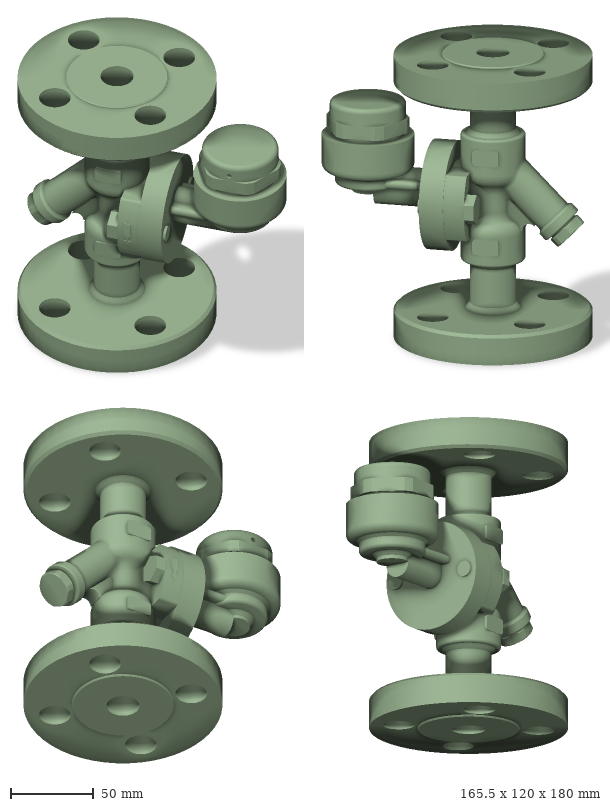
import cadquery as cq
import math

total_height = 180.0
flange_diameter = 120.0
flange_thickness = 18.7
flange_chamfer = 1.8
raised_face_diameter = 62.0
raised_face_height = 1.0
raised_face_chamfer = 0.7
bolt_hole_diameter = 19.0
bolt_hole_offset = 30.0
bore_diameter = 20.0
bore_depth = 46.8
neck_diameter = 27.7
hub_diameter = 33.8
hub_length = 3.0

valve_z = -2.0
barrel_diameter = 39.0
barrel_end_z = 40.1
barrel_edge_fillet = 1.6
shoulder_diameter = 33.1
shoulder_length = 2.9
barrel_start = 19.3
waist_diameter = 23.0
waist_half_height = 6.1
blend_split = 0.45
label_width = 16.2
label_height = 9.7
label_fillet = 2.0
label_face_y = 19.8
upper_label_z = 28.6
lower_label_z = -27.5

branch_axis_z = 27.0
branch_diameter = 23.0
branch_fillet = 2.7
collar_start = 54.9
collar_length = 6.0
collar_diameter = 27.0
collar_edge_fillet = 0.9
collar_flare = 1.6
web_width = 10.8
web_fillet = 4.3
plug_neck_diameter = 19.0
plug_start = 62.1
plug_end = 68.4
plug_flats = 21.0
plug_corner_diameter = 22.7
plug_chamfer = 0.7

disc_diameter = 67.0
pad_diameter = 66.2
pad_x = 10.0
disc_x = 23.0
disc_end_x = 38.0
pad_height = 41.0
pad_edge_fillet = 2.2
web_root_fillet = 5.0
boss_diameter = 44.0
boss_x = 15.5
screw_y = 25.5
screw_head_flats = 16.0
screw_head_height = 6.1
screw_diameter = 9.5
screw_tip_length = 1.6
arrow_height = 0.7
arrow_half_width = 2.2
arrow_stem_half_width = 0.7
arrow_top_z = 6.1
arrow_notch_z = 5.2
arrow_tail_z = -2.2
arrow_head_z = -6.8
arrow_tip_z = -10.5

trap_x = 77.5
duct_width = 16.2
duct_bottom_z = -10.3
duct_top_z = 13.5
rail_z = 6.0
rail_width = 28.8
rail_thickness = 5.2
duct_end_x = 72.4
chamber_diameter = 56.0
chamber_bottom_z = 10.6
chamber_top_z = 33.5
chamber_fillet = 4.7
seat_diameter = 40.0
seat_bottom_z = 2.3
seat_fillet = 2.2
seat_flare = 1.8
drain_diameter = 19.0
drain_bottom_z = -2.3
drain_flare = 2.5
cap_neck_diameter = 44.6
cap_hex_flats = 46.0
cap_hex_corner_diameter = 50.2
cap_hex_bottom_z = 36.0
cap_hex_top_z = 44.5
cap_diameter = 46.0
cap_top_z = 54.9
cap_fillet = 2.9
vent_diameter = 3.2
vent_depth = 1.8
vent_z = 48.2


def disc_z(diameter, z_low, z_high, x=0):
    return cq.Workplane("XY", origin=(x, 0, z_low)).circle(diameter / 2).extrude(z_high - z_low)


def disc_along_x(diameter, x_low, x_high, y=0, z=valve_z):
    return cq.Workplane("YZ", origin=(x_low, y, z)).circle(diameter / 2).extrude(x_high - x_low)


def hexagon(plane, across_flats, height, turn=0):
    corner_diameter = across_flats / math.cos(math.pi / 6)
    prism = cq.Workplane(plane).polygon(6, corner_diameter).extrude(height)
    return prism.rotate(plane.origin.toTuple(), (plane.origin + plane.zDir).toTuple(), turn)


def cone(plane, start_radius, end_radius, height):
    base = cq.Workplane(plane).circle(start_radius)
    return base.workplane(offset=height).circle(end_radius).loft()


def level_plane(z, x=0):
    return cq.Plane(origin=(x, 0, z), xDir=(1, 0, 0), normal=(0, 0, 1))


def pipe_flange():
    """Upper flange with its raised face, bolt holes and hub."""
    top_z = total_height / 2 - raised_face_height
    bottom_z = top_z - flange_thickness
    plate = disc_z(flange_diameter, bottom_z, top_z).faces("<Z").edges().chamfer(flange_chamfer)
    holes = (
        cq.Workplane("XY", origin=(0, 0, bottom_z))
        .rect(2 * bolt_hole_offset, 2 * bolt_hole_offset, forConstruction=True)
        .vertices()
        .circle(bolt_hole_diameter / 2)
        .extrude(flange_thickness)
    )
    hub = cone(level_plane(bottom_z), hub_diameter / 2, neck_diameter / 2, -hub_length)
    raised_face = disc_z(raised_face_diameter, top_z, total_height / 2)
    raised_face = raised_face.faces(">Z").edges().chamfer(raised_face_chamfer)
    return plate.cut(holes).union(hub).union(raised_face)


def valve_body():
    """Necks, barrels and waist turned as one profile, with S-shaped blends at the waist."""
    r_neck = neck_diameter / 2
    r_shoulder = shoulder_diameter / 2
    r_barrel = barrel_diameter / 2
    r_rim = r_barrel - barrel_edge_fillet
    r_waist = waist_diameter / 2
    flange_z = total_height / 2 - flange_thickness
    shoulder_end_z = barrel_end_z + shoulder_length
    waist_low = valve_z - waist_half_height
    waist_high = valve_z + waist_half_height
    split_r = r_waist + blend_split * (r_barrel - r_waist)
    split_rise = blend_split * (barrel_start - waist_half_height)
    lower_split = (split_r, waist_low - split_rise)
    upper_split = (split_r, waist_high + split_rise)
    profile = (
        cq.Workplane("XZ")
        .moveTo(0, -flange_z)
        .lineTo(r_neck, -flange_z)
        .lineTo(r_neck, -shoulder_end_z)
        .lineTo(r_shoulder, -barrel_end_z)
        .lineTo(r_rim, -barrel_end_z)
        .radiusArc((r_barrel, barrel_edge_fillet - barrel_end_z), -barrel_edge_fillet)
        .lineTo(r_barrel, valve_z - barrel_start)
        .tangentArcPoint(lower_split, relative=False)
        .tangentArcPoint((r_waist, waist_low), relative=False)
        .lineTo(r_waist, waist_high)
        .tangentArcPoint(upper_split, relative=False)
        .tangentArcPoint((r_barrel, valve_z + barrel_start), relative=False)
        .lineTo(r_barrel, barrel_end_z - barrel_edge_fillet)
        .radiusArc((r_rim, barrel_end_z), -barrel_edge_fillet)
        .lineTo(r_shoulder, barrel_end_z)
        .lineTo(r_neck, shoulder_end_z)
        .lineTo(r_neck, flange_z)
        .lineTo(0, flange_z)
        .close()
    )
    return profile.revolve(360, (0, 0, 0), (0, 1, 0))


def body_labels():
    """Flat rounded pads on the front and back of both barrels."""
    pads = cq.Workplane("XY")
    for z in (upper_label_z, lower_label_z):
        pad = (
            cq.Workplane("XY", origin=(0, 0, z))
            .box(label_width, 2 * label_face_y, label_height)
            .edges("|Y")
            .fillet(label_fillet)
        )
        pads = pads.union(pad)
    return pads


def branch_plane_at(distance):
    """Plane square to the branch axis, at a distance from the pipe axis."""
    step = distance * math.sqrt(0.5)
    return cq.Plane(origin=(-step, 0, branch_axis_z - step), xDir=(0, 1, 0), normal=(-1, 0, -1))


def branch_disc(diameter, start, end):
    return cq.Workplane(branch_plane_at(start)).circle(diameter / 2).extrude(end - start)


def strainer_cap():
    """Collar and hexagon plug at the end of the branch."""
    collar = branch_disc(collar_diameter, collar_start, collar_start + collar_length)
    collar = collar.edges("<X").fillet(collar_edge_fillet)
    flare_plane = branch_plane_at(collar_start)
    flare = cone(flare_plane, branch_diameter / 2 + collar_flare, branch_diameter / 2, -collar_flare)
    plug_neck = branch_disc(plug_neck_diameter, collar_start, plug_end)
    plug = branch_disc(plug_corner_diameter, plug_start, plug_end).edges().chamfer(plug_chamfer)
    head_plane = branch_plane_at(plug_start)
    plug = plug.intersect(hexagon(head_plane, plug_flats, plug_end - plug_start, turn=30))
    return collar.union(flare).union(plug_neck).union(plug)


def bonnet():
    """Flanged joint between the body and the trap."""
    pad = disc_along_x(pad_diameter, pad_x, disc_x).intersect(
        cq.Workplane("XY", origin=(0, 0, valve_z)).box(total_height, disc_diameter, pad_height)
    )
    pad = pad.edges("|X").fillet(pad_edge_fillet)
    web = cq.Workplane("XY", origin=(pad_x / 2, 0, valve_z)).box(pad_x, waist_diameter, pad_height)
    for side in (1, -1):
        y_wall = side * waist_diameter / 2
        root = (
            cq.Workplane("XY", origin=(0, 0, valve_z - pad_height / 2))
            .moveTo(pad_x - web_root_fillet, y_wall)
            .radiusArc((pad_x, y_wall + side * web_root_fillet), side * -web_root_fillet)
            .lineTo(pad_x, y_wall)
            .close()
            .extrude(pad_height)
        )
        web = web.union(root)
    disc = disc_along_x(disc_diameter, disc_x, disc_end_x)
    boss = disc_along_x(boss_diameter, boss_x, disc_x)
    joint = pad.union(web).union(disc).union(boss)
    for y in (-screw_y, screw_y):
        head_plane = cq.Plane(origin=(pad_x - screw_head_height, y, valve_z), xDir=(0, 0, 1), normal=(1, 0, 0))
        joint = joint.union(hexagon(head_plane, screw_head_flats, screw_head_height))
        joint = joint.union(disc_along_x(screw_diameter, disc_x, disc_end_x + screw_tip_length, y))
    return joint


def duct():
    """Upright oval duct with round-edged side rails, joining the bonnet to the trap."""
    duct_height = duct_top_z - duct_bottom_z
    length = duct_end_x - disc_end_x
    oval = (
        cq.Workplane("YZ", origin=(disc_end_x, 0, (duct_top_z + duct_bottom_z) / 2))
        .slot2D(duct_height, duct_width, 90)
        .extrude(length)
    )
    rails = (
        cq.Workplane("YZ", origin=(disc_end_x, 0, rail_z))
        .slot2D(rail_width, rail_thickness)
        .extrude(length)
    )
    return oval.union(rails)


def branch_web():
    """Web filling the crotch under the branch, rounded off between branch and lower barrel."""
    r_barrel = barrel_diameter / 2
    branch_drop = branch_axis_z - branch_diameter / 2 * math.sqrt(2)
    diagonal = web_fillet * math.sqrt(0.5)
    center_x = -r_barrel - web_fillet
    center_z = center_x + branch_drop - web_fillet * math.sqrt(2)
    return (
        cq.Workplane("XZ", origin=(0, web_width / 2, 0))
        .moveTo(0, branch_drop)
        .lineTo(center_x - diagonal, center_z + diagonal)
        .radiusArc((center_x + web_fillet, center_z), web_fillet)
        .lineTo(0, center_z)
        .close()
        .extrude(web_width)
    )


def flow_arrow():
    """Raised arrow on the front rim of the pad, pointing down."""
    half_outline = (
        (arrow_half_width, arrow_top_z),
        (arrow_half_width, arrow_tail_z),
        (arrow_stem_half_width, arrow_tail_z - arrow_half_width),
        (arrow_stem_half_width, arrow_head_z),
        (arrow_half_width, arrow_head_z),
    )
    mirrored = [(-x, z) for x, z in reversed(half_outline)]
    outline = [(0, arrow_notch_z), *half_outline, (0, arrow_tip_z), *mirrored]
    arrow_x = (pad_x + disc_x) / 2
    prism = cq.Workplane("XZ", origin=(arrow_x, 0, 0)).polyline(outline).close().extrude(disc_diameter)
    return prism.intersect(disc_along_x(pad_diameter + 2 * arrow_height, pad_x, disc_x))


def steam_trap():
    """Stepped trap chamber with its drain spigot, hexagon and cap."""
    drain = disc_z(drain_diameter, drain_bottom_z, seat_bottom_z, trap_x)
    r_drain = drain_diameter / 2
    r_seat = seat_diameter / 2
    drain_top = cone(level_plane(seat_bottom_z, trap_x), r_drain + drain_flare, r_drain, -drain_flare)
    seat = disc_z(seat_diameter, seat_bottom_z, chamber_bottom_z, trap_x).faces("<Z").edges().fillet(seat_fillet)
    seat_top = cone(level_plane(chamber_bottom_z, trap_x), r_seat + seat_flare, r_seat, -seat_flare)
    chamber = disc_z(chamber_diameter, chamber_bottom_z, chamber_top_z, trap_x)
    chamber = chamber.faces("<Z").edges().fillet(chamber_fillet)
    cap_neck = disc_z(cap_neck_diameter, chamber_top_z, cap_hex_bottom_z, trap_x)
    hex_band = disc_z(cap_hex_corner_diameter, cap_hex_bottom_z, cap_hex_top_z, trap_x).intersect(
        hexagon(level_plane(cap_hex_bottom_z, trap_x), cap_hex_flats, cap_hex_top_z - cap_hex_bottom_z)
    )
    cap = disc_z(cap_diameter, cap_hex_top_z, cap_top_z, trap_x).faces(">Z").edges().fillet(cap_fillet)
    vent = (
        cq.Workplane("XZ", origin=(trap_x, -cap_diameter / 2 + vent_depth, vent_z))
        .circle(vent_diameter / 2)
        .extrude(vent_depth)
    )
    trap = drain
    for section in (drain_top, seat, seat_top, chamber, cap_neck, hex_band, cap):
        trap = trap.union(section)
    return trap.cut(vent)


def body_with_branch():
    """Body joined to the branch, with the seam between their curved faces filleted."""
    branch = branch_disc(branch_diameter, 0, collar_start)
    crotch = cq.selectors.BoxSelector(
        (-collar_start / 2, -barrel_diameter / 2, valve_z - barrel_start),
        (-arrow_height, barrel_diameter / 2, barrel_end_z),
    )
    joined = valve_body().union(branch)
    seam = joined.edges(crotch).edges("not %CIRCLE").edges("not %LINE")
    return seam.fillet(branch_fillet).union(branch_web())


body = body_with_branch()
upper_flange = pipe_flange()
result = body
for piece in (
    upper_flange,
    upper_flange.mirror("XY"),
    body_labels(),
    strainer_cap(),
    bonnet(),
    flow_arrow(),
    duct(),
    steam_trap(),
):
    result = result.union(piece)
upper_bore = disc_z(bore_diameter, total_height / 2 - bore_depth, total_height / 2)
result = result.cut(upper_bore).cut(upper_bore.mirror("XY"))